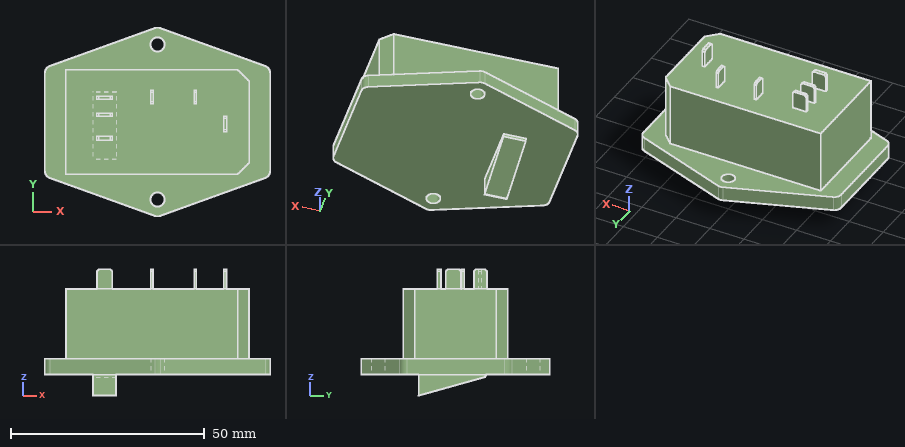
import cadquery as cq

FLANGE_LENGTH = 58.2
FLANGE_THICKNESS = 4.15
FLANGE_SIDE_HALF_WIDTH = 14.0
FLANGE_APEX_HALF_WIDTH = 24.5
FLANGE_CORNER_RADIUS = 2.0
SCREW_HOLE_DIAMETER = 3.6
SCREW_HOLE_SPACING = 40.0

BODY_LENGTH = 47.3
BODY_WIDTH = 27.0
BODY_HEIGHT = 18.0
BODY_CHAMFER = 3.0

BLADE_HEIGHT = 5.05
BLADE_TIP_CHAMFER = 0.5
BLADE_WIDTH = 4.0
BLADE_THICKNESS = 0.8
THICK_BLADE_THICKNESS = 1.0
NARROW_BLADE_WIDTH = 3.4
NARROW_BLADE_THICKNESS = 0.6
SWITCH_X = -13.65
SWITCH_BLADES = ((6.3, BLADE_THICKNESS), (1.9, BLADE_THICKNESS), (-4.22, THICK_BLADE_THICKNESS))
NARROW_BLADE_XS = (-1.45, 9.75)
NARROW_BLADE_Y = 6.43
END_BLADE_X = 17.45
END_BLADE_Y = -0.55

ROCKER_WIDTH = 6.0
ROCKER_FRONT_Y = -9.5
ROCKER_BACK_Y = 7.92
ROCKER_DEPTH = 5.45
ROCKER_HEEL_RUN = 0.3
ROCKER_HEEL_DEPTH = 0.65
ROCKER_TOE_RUN = 0.05
ROCKER_TOE_DEPTH = 0.15

BODY_TOP = FLANGE_THICKNESS + BODY_HEIGHT


def make_flange():
    """Hexagonal plate with rounded corners and a screw hole near each apex."""
    half_length = FLANGE_LENGTH / 2
    outline = [
        (half_length, FLANGE_SIDE_HALF_WIDTH),
        (0, FLANGE_APEX_HALF_WIDTH),
        (-half_length, FLANGE_SIDE_HALF_WIDTH),
        (-half_length, -FLANGE_SIDE_HALF_WIDTH),
        (0, -FLANGE_APEX_HALF_WIDTH),
        (half_length, -FLANGE_SIDE_HALF_WIDTH),
    ]
    plate = cq.Workplane("XY").polyline(outline).close().extrude(FLANGE_THICKNESS)
    plate = plate.edges("|Z").fillet(FLANGE_CORNER_RADIUS)
    screw_holes = (
        cq.Workplane("XY")
        .rarray(1, SCREW_HOLE_SPACING, 1, 2)
        .circle(SCREW_HOLE_DIAMETER / 2)
        .extrude(FLANGE_THICKNESS)
    )
    return plate.cut(screw_holes)


def make_body():
    """Rectangular housing centred on the flange."""
    body = (
        cq.Workplane("XY")
        .workplane(offset=FLANGE_THICKNESS)
        .rect(BODY_LENGTH, BODY_WIDTH)
        .extrude(BODY_HEIGHT)
    )
    return body.faces(">X").edges("|Z").chamfer(BODY_CHAMFER)


def make_blade(x, y, width, thickness, along_y=False):
    """Flat terminal standing on the housing, with both tip corners chamfered."""
    blade = (
        cq.Workplane("XY")
        .box(width, thickness, BLADE_HEIGHT, centered=(True, True, False))
        .faces(">Z")
        .edges("|Y")
        .chamfer(BLADE_TIP_CHAMFER)
    )
    if along_y:
        blade = blade.rotate((0, 0, 0), (0, 0, 1), 90)
    return blade.translate((x, y, BODY_TOP))


def make_rocker():
    """Wedge-shaped paddle, deepest at its -Y toe, with a short sloped heel at +Y."""
    profile = [
        (ROCKER_FRONT_Y, 0),
        (ROCKER_FRONT_Y, ROCKER_TOE_DEPTH - ROCKER_DEPTH),
        (ROCKER_FRONT_Y - ROCKER_TOE_RUN, -ROCKER_DEPTH),
        (ROCKER_BACK_Y - ROCKER_HEEL_RUN, -ROCKER_HEEL_DEPTH),
        (ROCKER_BACK_Y, 0),
    ]
    paddle = cq.Workplane("YZ").polyline(profile).close().extrude(ROCKER_WIDTH / 2, both=True)
    return paddle.translate((SWITCH_X, 0, 0))


result = make_flange().union(make_body()).union(make_rocker())
for blade_y, blade_thickness in SWITCH_BLADES:
    result = result.union(make_blade(SWITCH_X, blade_y, BLADE_WIDTH, blade_thickness))
for blade_x in NARROW_BLADE_XS:
    narrow_blade = make_blade(
        blade_x, NARROW_BLADE_Y, NARROW_BLADE_WIDTH, NARROW_BLADE_THICKNESS, along_y=True
    )
    result = result.union(narrow_blade)
result = result.union(make_blade(END_BLADE_X, END_BLADE_Y, BLADE_WIDTH, BLADE_THICKNESS, along_y=True))